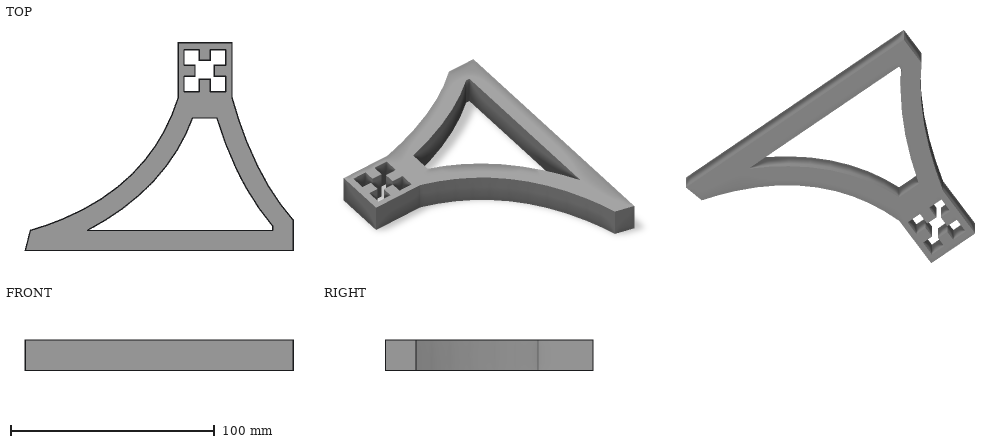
import cadquery as cq


overall_width = 131.5
overall_height = 102.0
thickness = 15.0

base_bar_height = 10.0
left_end_slant = 2.5
right_end_height = 15.0

head_left = 75.0
head_width = 26.5
head_right = head_left + head_width
shoulder_y = 75.0

left_outer_control = (59.7, 26.6)
right_outer_control = (112.0, 37.0)

window_top_y = 65.0
window_top_left = 82.1
window_top_right = 94.0
window_bottom_left = 30.6
window_bottom_right = 121.4
window_right_wall_top_y = 12.0
window_left_control = (69.3, 30.4)
window_right_control = (103.7, 33.0)

socket_size = 20.4
socket_center = (88.1, 88.25)
tooth_width = 5.5
tooth_gap = 9.2
tooth_gap_center = (88.0, 88.75)


def make_body():
    """Plate with two concave legs running from the head down to the base bar."""
    return (
        cq.Workplane("XY")
        .moveTo(0, 0)
        .lineTo(overall_width, 0)
        .lineTo(overall_width, right_end_height)
        .bezier(
            [right_outer_control, (head_right, shoulder_y)],
            includeCurrent=True,
        )
        .lineTo(head_right, overall_height)
        .lineTo(head_left, overall_height)
        .lineTo(head_left, shoulder_y)
        .bezier(
            [left_outer_control, (left_end_slant, base_bar_height)],
            includeCurrent=True,
        )
        .close()
        .extrude(thickness)
    )


def make_window():
    """Through opening bounded by the two legs, the head and the base bar."""
    return (
        cq.Workplane("XY")
        .moveTo(window_bottom_left, base_bar_height)
        .lineTo(window_bottom_right, base_bar_height)
        .lineTo(window_bottom_right, window_right_wall_top_y)
        .bezier(
            [window_right_control, (window_top_right, window_top_y)],
            includeCurrent=True,
        )
        .lineTo(window_top_left, window_top_y)
        .bezier(
            [window_left_control, (window_bottom_left, base_bar_height)],
            includeCurrent=True,
        )
        .close()
        .extrude(thickness)
    )


def make_block(center, size_x, size_y):
    """Full-thickness rectangular block centred at an XY point."""
    return (
        cq.Workplane("XY")
        .center(*center)
        .rect(size_x, size_y)
        .extrude(thickness)
    )


def make_socket():
    """Through socket: the square less a cross of teeth, plus the open centre."""
    square = make_block(socket_center, socket_size, socket_size)
    horizontal_teeth = make_block(socket_center, socket_size, tooth_width)
    vertical_teeth = make_block(socket_center, tooth_width, socket_size)
    open_center = make_block(tooth_gap_center, tooth_gap, tooth_gap)
    return square.cut(horizontal_teeth).cut(vertical_teeth).union(open_center)


result = make_body().cut(make_window()).cut(make_socket())